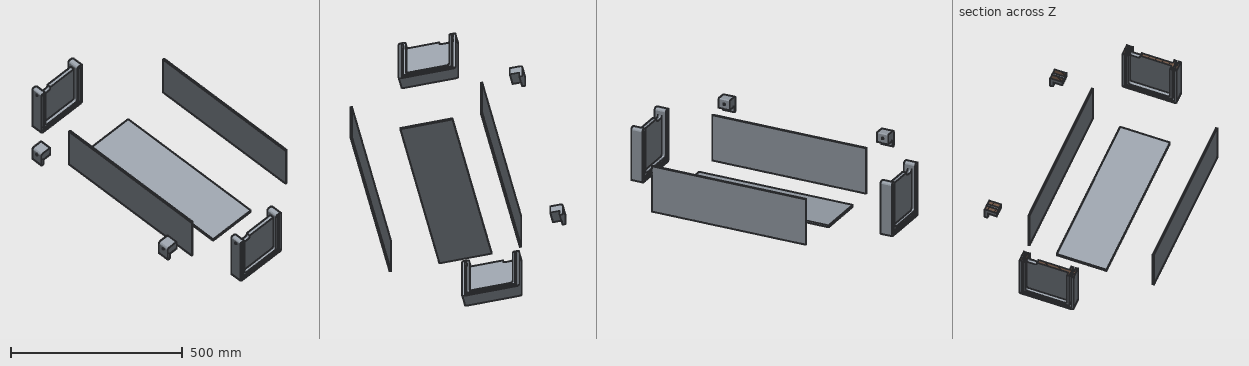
import cadquery as cq

overall_length = 850.0
overall_depth = 521.0
frame_size = 171.0
top_z = frame_size / 2
bottom_z = -frame_size / 2

frame_width = 36.5
outer_recess_depth = 11.0
inner_recess_depth = 13.0
frame_back_y = 73.0
frame_front_y = frame_back_y - frame_size
frame_corner_radius = 8.0
recess_corner_radius = 7.0

rim_wall = 8.0
front_inner_wall = 7.0
front_groove = 5.0
base_groove = 7.0
back_arm = 2 * rim_wall + base_groove
base_rim = 2 * rim_wall + base_groove
front_arm = rim_wall + front_groove + front_inner_wall
opening_front_y = frame_front_y + front_arm
opening_back_y = frame_back_y - back_arm
opening_floor_z = bottom_z + base_rim

tip_radius = 8.0
front_tip_radius = 5.0

web_drop = 15.0
web_top_z = top_z - web_drop
notch_length = 31.5
notch_depth = 10.0
notch_radius = 7.0

screw_radius = 3.0
screw_z = top_z - 15.0

inner_groove_depth = 13.0
groove_corner_radius = 3.0
floor_to_screw_axis = 2.5
outer_groove_depth = frame_width / 2 - floor_to_screw_axis
groove_front_y = frame_front_y + rim_wall
groove_back_y = frame_back_y - rim_wall
groove_bottom_z = bottom_z + rim_wall
groove_top_z = top_z - rim_wall

panel_length = 501.5
panel_center_x = 12.0
wall_panel_height = 146.0
wall_panel_thickness = 5.0
front_panel_y = -132.0
back_panel_y = overall_depth / 2 - wall_panel_thickness / 2
base_panel_depth = 156.0
base_panel_thickness = base_groove
base_panel_back_y = 111.0
base_panel_top_z = -70.5

hook_width = 36.5
hook_depth = 38.0
hook_height = 51.0
hook_spacing = 517.0
hook_block_height = 31.0
hook_lip_thickness = 10.0
hook_front_radius = 8.5
hook_back_radius = 3.0
hook_lip_radius = 4.0
hook_front_y = -overall_depth / 2


def box(x_range, y_range, z_range):
    """Axis-aligned box between the given limits."""
    x0, x1 = x_range
    y0, y1 = y_range
    z0, z1 = z_range
    return cq.Workplane("XY").box(x1 - x0, y1 - y0, z1 - z0, centered=False).translate((x0, y0, z0))


def screw_hole(center_x, front_y, length):
    """Cylinder that runs back along Y from front_y."""
    face = cq.Workplane("XZ", origin=(center_x, front_y, screw_z))
    return face.circle(screw_radius).extrude(-length)


def u_groove(x_range):
    """Groove along both arms and the base, with a rounded end at the top of the back arm."""
    base_z = (groove_bottom_z, groove_bottom_z + base_groove)
    base = box(x_range, (groove_front_y, groove_back_y), base_z)
    back_y = (groove_back_y - base_groove, groove_back_y)
    back = box(x_range, back_y, (groove_bottom_z, groove_top_z))
    back = back.edges("|X and >Z").fillet(groove_corner_radius)
    base_and_back = base.union(back).edges("|X and >Y and <Z").fillet(groove_corner_radius)
    front_y = (groove_front_y, groove_front_y + front_groove)
    front = box(x_range, front_y, (groove_bottom_z, groove_top_z))
    return base_and_back.union(front)


def frame_outline():
    """U-shaped block with rounded arm tips, still filled up to the top of the web."""
    full_x = (0, frame_width)
    back = box(full_x, (opening_back_y, frame_back_y), (web_top_z, top_z))
    back = back.edges("|X and >Z").fillet(tip_radius)
    front = box(full_x, (frame_front_y, opening_front_y), (web_top_z, top_z))
    front = front.edges("|X and >Z and <Y").fillet(front_tip_radius)
    front = front.edges("|X and >Z and >Y").fillet(tip_radius)
    lower = box(full_x, (frame_front_y, frame_back_y), (bottom_z, web_top_z))
    lower = lower.edges("|X and <Z").fillet(frame_corner_radius)
    return lower.union(back).union(front).clean()


def web_notch():
    notch_y = (opening_front_y, opening_front_y + notch_length)
    notch = box((0, frame_width), notch_y, (web_top_z - notch_depth, web_top_z))
    return notch.edges("|X and <Z").fillet(notch_radius)


def recess(x_range):
    """Recess between the arms that leaves the thin web."""
    pocket = box(x_range, (opening_front_y, opening_back_y), (opening_floor_z, web_top_z))
    return pocket.edges("|X and <Z").fillet(recess_corner_radius)


def end_frame():
    """End frame with its outer face at X = 0 and its inner face at X = frame_width."""
    frame = frame_outline().cut(web_notch())
    frame = frame.cut(recess((0, outer_recess_depth)))
    frame = frame.cut(recess((frame_width - inner_recess_depth, frame_width)))
    frame = frame.cut(u_groove((0, outer_groove_depth)))
    frame = frame.cut(u_groove((frame_width - inner_groove_depth, frame_width)))
    return frame.cut(screw_hole(frame_width / 2, frame_front_y, rim_wall + front_groove))


def panel(y_range, z_range):
    """Flat panel of the common panel length."""
    half = panel_length / 2
    return box((panel_center_x - half, panel_center_x + half), y_range, z_range)


def wall_panel(center_y):
    """Upright panel that stands on the level of the base panel's top."""
    half = wall_panel_thickness / 2
    z_range = (base_panel_top_z, base_panel_top_z + wall_panel_height)
    return panel((center_y - half, center_y + half), z_range)


def hook(center_x):
    """Block with a lip hanging down along its front and a screw hole through it."""
    back_y = hook_front_y + hook_depth
    x_range = (center_x - hook_width / 2, center_x + hook_width / 2)
    body = box(x_range, (hook_front_y, back_y), (top_z - hook_height, top_z))
    body = body.edges("|X and >Z and <Y").fillet(hook_front_radius)
    body = body.edges("|X and >Z and >Y").fillet(hook_back_radius)
    behind_lip_y = (hook_front_y + hook_lip_thickness, back_y)
    body = body.cut(box(x_range, behind_lip_y, (top_z - hook_height, top_z - hook_block_height)))
    body = body.edges("|X and <Z").fillet(hook_lip_radius)
    return body.cut(screw_hole(center_x, hook_front_y, hook_depth))


left_frame = end_frame().translate((-overall_length / 2, 0, 0))
right_frame = left_frame.mirror("YZ")
end_frames = [left_frame.val(), right_frame.val()]

wall_panels = [wall_panel(center_y).val() for center_y in (front_panel_y, back_panel_y)]

base_panel = panel(
    (base_panel_back_y - base_panel_depth, base_panel_back_y),
    (base_panel_top_z - base_panel_thickness, base_panel_top_z),
)

hooks = [hook(panel_center_x + side * hook_spacing / 2).val() for side in (-1, 1)]

result = cq.Compound.makeCompound([*end_frames, *wall_panels, base_panel.val(), *hooks])